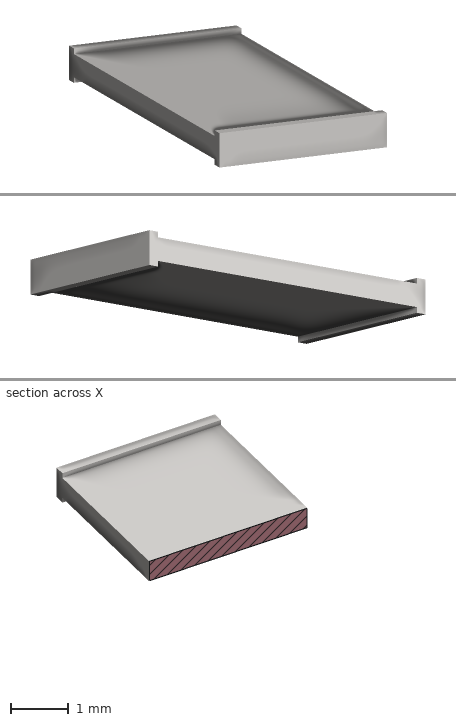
import cadquery as cq

length = 6.3
width = 3.2
height = 0.62

cap_length = 0.2
cap_step = 0.1
plate_thickness = height - 2 * cap_step


def make_plate():
    """Thin plate running the full length, centred on the origin."""
    return cq.Workplane("XY").box(length, width, plate_thickness)


def make_end_cap(side):
    """Full-height bar at one end of the plate; side is -1 or +1 along X."""
    centre_x = side * (length - cap_length) / 2
    return cq.Workplane("XY").box(cap_length, width, height).translate((centre_x, 0, 0))


result = make_plate()
for side in (-1, 1):
    result = result.union(make_end_cap(side))